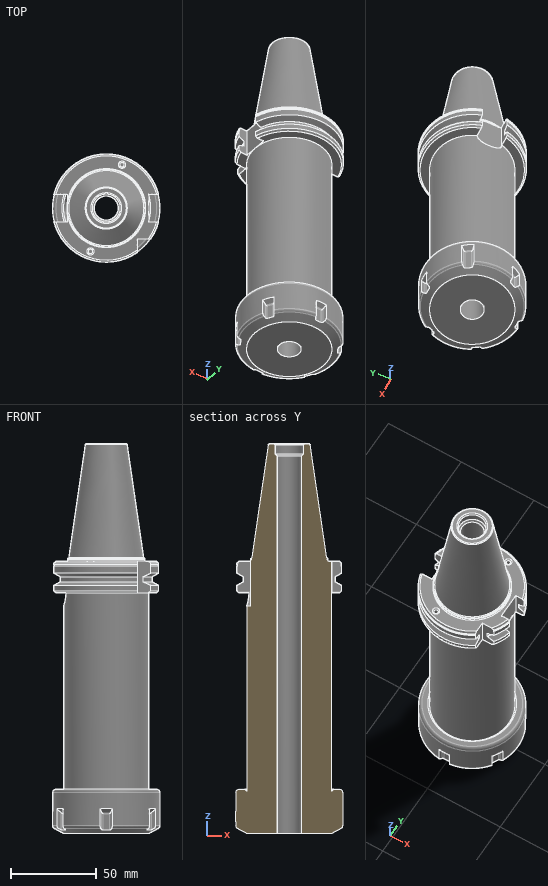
import cadquery as cq
import math

TAPER_TOP_Z = 68.4
NOSE_Z = -160.0

GAUGE_RADIUS = 44.45 / 2
TAPER_RATE = 7 / 24 / 2
TAPER_TOP_CHAMFER = 0.5
TAPER_END_Z = 1.6
COLLAR_RADIUS = GAUGE_RADIUS + 0.5
COLLAR_CHAMFER = 0.4
COLLAR_BOTTOM_Z = 0.5
NECK_RADIUS = GAUGE_RADIUS
NECK_FLARE = 0.9

FLANGE_RADIUS = 63.55 / 2
FLANGE_TOP_Z = -0.5
FLANGE_BOTTOM_Z = -19.1
FLANGE_CHAMFER = 1.2
RIM_GROOVE_TOP_Z = -2.3
RIM_GROOVE_WIDTH = 0.9
RIM_GROOVE_DEPTH = 0.2
GROOVE_RADIUS = 56.25 / 2
GROOVE_CENTRE_Z = -11.1
GROOVE_MOUTH_WIDTH = 7.1
GROOVE_FLANK_ANGLE = 30.0

DRIVE_SLOT_WIDTH = 16.1
DRIVE_SLOT_BOTTOM_Z = -26.7
DEEP_DRIVE_SLOT_FLOOR = 22.8
SHALLOW_DRIVE_SLOT_FLOOR = 25.0
NOTCH_OFFSET = 18.2
COOLANT_HOLE_DIAMETER = 2.6
COOLANT_HOLE_DEPTH = 5.0
COOLANT_COUNTERSINK_DIAMETER = 4.2
COOLANT_COUNTERSINK_ANGLE = 90.0
COOLANT_HOLE_PITCH_RADIUS = 27.0
COOLANT_HOLE_ANGLE = 70.0

SHANK_RADIUS = 25.0
NUT_RADIUS = 63.0 / 2
NUT_TOP_Z = -134.0
NUT_TOP_FILLET = 2.0
NUT_MOUTH_CHAMFER = 1.0
NUT_EDGE_FILLET = 2.0
NUT_CONE_TOP_Z = -156.5
NOSE_RADIUS = 25.0

SPANNER_SLOT_COUNT = 6
SPANNER_SLOT_MOUTH_WIDTH = 7.4
SPANNER_SLOT_FLOOR_WIDTH = 4.8
SPANNER_SLOT_DEPTH = 2.8
SPANNER_SLOT_FILLET = 0.9
SPANNER_SLOT_TOP_Z = -145.3
LONG_SPANNER_SLOT_TOP_Z = -138.5
LONG_SPANNER_SLOT_ANGLE = 150

BORE_RADIUS = 7.0
PILOT_RADIUS = 8.2
PILOT_DEPTH = 6.0
PILOT_CONE_HEIGHT = 1.2
PILOT_CHAMFER = 0.8


def taper_radius(z):
    return GAUGE_RADIUS - TAPER_RATE * z


def make_body():
    flank_height = (FLANGE_RADIUS - GROOVE_RADIUS) * math.tan(math.radians(GROOVE_FLANK_ANGLE))
    groove_top = GROOVE_CENTRE_Z + GROOVE_MOUTH_WIDTH / 2
    groove_bottom = GROOVE_CENTRE_Z - GROOVE_MOUTH_WIDTH / 2
    chamfered_flange = FLANGE_RADIUS - FLANGE_CHAMFER
    rim_groove_radius = FLANGE_RADIUS - RIM_GROOVE_DEPTH
    outline = [
        (0, TAPER_TOP_Z),
        (taper_radius(TAPER_TOP_Z) - TAPER_TOP_CHAMFER, TAPER_TOP_Z),
        (taper_radius(TAPER_TOP_Z - TAPER_TOP_CHAMFER), TAPER_TOP_Z - TAPER_TOP_CHAMFER),
        (taper_radius(TAPER_END_Z), TAPER_END_Z),
        (COLLAR_RADIUS, TAPER_END_Z - COLLAR_CHAMFER),
        (COLLAR_RADIUS, COLLAR_BOTTOM_Z),
        (NECK_RADIUS, COLLAR_BOTTOM_Z),
        (NECK_RADIUS + NECK_FLARE, FLANGE_TOP_Z),
        (chamfered_flange, FLANGE_TOP_Z),
        (FLANGE_RADIUS, FLANGE_TOP_Z - FLANGE_CHAMFER),
        (FLANGE_RADIUS, RIM_GROOVE_TOP_Z),
        (rim_groove_radius, RIM_GROOVE_TOP_Z),
        (rim_groove_radius, RIM_GROOVE_TOP_Z - RIM_GROOVE_WIDTH),
        (FLANGE_RADIUS, RIM_GROOVE_TOP_Z - RIM_GROOVE_WIDTH),
        (FLANGE_RADIUS, groove_top),
        (GROOVE_RADIUS, groove_top - flank_height),
        (GROOVE_RADIUS, groove_bottom + flank_height),
        (FLANGE_RADIUS, groove_bottom),
        (FLANGE_RADIUS, FLANGE_BOTTOM_Z + FLANGE_CHAMFER),
        (chamfered_flange, FLANGE_BOTTOM_Z),
        (SHANK_RADIUS, FLANGE_BOTTOM_Z),
        (SHANK_RADIUS, NUT_TOP_Z - NUT_MOUTH_CHAMFER),
        (0, NUT_TOP_Z - NUT_MOUTH_CHAMFER),
    ]
    return cq.Workplane("XZ").polyline(outline).close().revolve(360, (0, 0), (0, 1))


def make_nut():
    mouth_bottom_z = NUT_TOP_Z - NUT_MOUTH_CHAMFER
    outline = [
        (0, mouth_bottom_z),
        (SHANK_RADIUS, mouth_bottom_z),
        (SHANK_RADIUS + NUT_MOUTH_CHAMFER, NUT_TOP_Z),
        (NUT_RADIUS, NUT_TOP_Z),
        (NUT_RADIUS, NUT_CONE_TOP_Z),
        (NOSE_RADIUS, NOSE_Z),
        (0, NOSE_Z),
    ]
    nut = cq.Workplane("XZ").polyline(outline).close().revolve(360, (0, 0), (0, 1))
    top_rim = cq.selectors.RadiusNthSelector(-1)
    nut = nut.faces(">Z").edges(top_rim).fillet(NUT_TOP_FILLET)
    cone_edge = cq.selectors.NearestToPointSelector((0, 0, NUT_CONE_TOP_Z))
    return nut.edges(cone_edge).fillet(NUT_EDGE_FILLET)


def make_spanner_slot(top_z, angle):
    """Pocket that narrows towards its floor, with a sloping upper end and an open lower end."""
    floor_radius = NUT_RADIUS - SPANNER_SLOT_DEPTH
    flare = (SPANNER_SLOT_MOUTH_WIDTH - SPANNER_SLOT_FLOOR_WIDTH) / 2
    half_floor = SPANNER_SLOT_FLOOR_WIDTH / 2
    outer_depth = 2 * SPANNER_SLOT_DEPTH
    bottom_z = NOSE_Z - 2 * SPANNER_SLOT_FILLET
    section = [
        (floor_radius, -half_floor),
        (floor_radius + outer_depth, -half_floor - 2 * flare),
        (floor_radius + outer_depth, half_floor + 2 * flare),
        (floor_radius, half_floor),
    ]
    channel = cq.Workplane("XY", origin=(0, 0, bottom_z)).polyline(section).close()
    channel = channel.extrude(top_z + outer_depth - bottom_z)
    slope = [
        (floor_radius, bottom_z),
        (floor_radius + outer_depth, bottom_z),
        (floor_radius + outer_depth, top_z + SPANNER_SLOT_DEPTH),
        (floor_radius, top_z - SPANNER_SLOT_DEPTH),
    ]
    side = cq.Workplane("XZ").polyline(slope).close().extrude(SPANNER_SLOT_MOUTH_WIDTH, both=True)
    pocket = channel.intersect(side)
    pocket = pocket.faces("<X").edges().fillet(SPANNER_SLOT_FILLET)
    return pocket.rotate((0, 0, 0), (0, 0, 1), angle)


def cut_spanner_slots(part):
    step = 360 // SPANNER_SLOT_COUNT
    for angle in range(step // 2, 360, step):
        is_long = angle == LONG_SPANNER_SLOT_ANGLE
        top_z = LONG_SPANNER_SLOT_TOP_Z if is_long else SPANNER_SLOT_TOP_Z
        part = part.cut(make_spanner_slot(top_z, angle))
    return part


def make_drive_slot(floor_distance, side):
    """Round-ended slot open to the top and outside of the flange; side is +1 or -1 along X."""
    half_width = DRIVE_SLOT_WIDTH / 2
    round_centre_z = DRIVE_SLOT_BOTTOM_Z + half_width
    profile = (
        cq.Workplane("YZ", origin=(side * floor_distance, 0, 0))
        .moveTo(-half_width, FLANGE_TOP_Z)
        .lineTo(-half_width, round_centre_z)
        .threePointArc((0, DRIVE_SLOT_BOTTOM_Z), (half_width, round_centre_z))
        .lineTo(half_width, FLANGE_TOP_Z)
        .close()
    )
    return profile.extrude(side * FLANGE_RADIUS)


def make_orientation_notch():
    size = FLANGE_RADIUS
    corner = (NOTCH_OFFSET, -NOTCH_OFFSET - size, FLANGE_BOTTOM_Z)
    height = FLANGE_TOP_Z - FLANGE_BOTTOM_Z
    return cq.Workplane("XY", origin=corner).box(size, size, height, centered=False)


def cut_coolant_holes(part):
    return (
        part.copyWorkplane(cq.Workplane("XY", origin=(0, 0, FLANGE_TOP_Z)))
        .polarArray(COOLANT_HOLE_PITCH_RADIUS, COOLANT_HOLE_ANGLE, 360, 2)
        .cskHole(
            COOLANT_HOLE_DIAMETER,
            COOLANT_COUNTERSINK_DIAMETER,
            COOLANT_COUNTERSINK_ANGLE,
            COOLANT_HOLE_DEPTH,
        )
    )


def make_bore():
    """Through bore with a pilot bore and a countersunk mouth at the small end of the taper."""
    outline = [
        (0, NOSE_Z),
        (BORE_RADIUS, NOSE_Z),
        (BORE_RADIUS, TAPER_TOP_Z - PILOT_DEPTH - PILOT_CONE_HEIGHT),
        (PILOT_RADIUS, TAPER_TOP_Z - PILOT_DEPTH),
        (PILOT_RADIUS, TAPER_TOP_Z - PILOT_CHAMFER),
        (PILOT_RADIUS + PILOT_CHAMFER, TAPER_TOP_Z),
        (0, TAPER_TOP_Z),
    ]
    return cq.Workplane("XZ").polyline(outline).close().revolve(360, (0, 0), (0, 1))


result = make_body().union(make_nut())
result = result.cut(make_drive_slot(DEEP_DRIVE_SLOT_FLOOR, -1))
result = result.cut(make_drive_slot(SHALLOW_DRIVE_SLOT_FLOOR, 1))
result = result.cut(make_orientation_notch())
result = cut_coolant_holes(result)
result = result.cut(make_bore())
result = cut_spanner_slots(result)